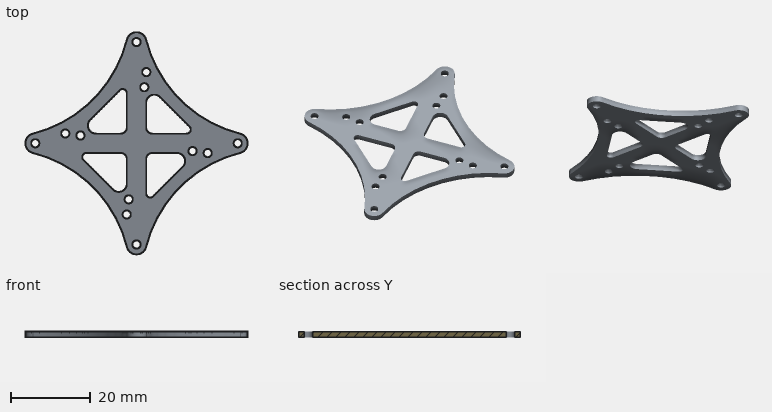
import cadquery as cq
import math

span = 55.9
thickness = 1.5
tip_radius = 2.5
edge_radius = 32.4
tip_reach = span / 2 - tip_radius

hole_diameter = 2.0
inner_hole = (1.95, 14.1)
outer_hole = (2.45, 17.9)

rib_half_width = 2.45
pocket_leg = 12.6
inner_corner_radius = 1.5
wide_corner_radius = 2.0
narrow_corner_radius = 1.0

arm_count = 4
arm_angle = 360 / arm_count


def edge_arc_centre():
    """Coordinate c of the arc centre (c, c), lying edge_radius + tip_radius from both tip centres."""
    centre_distance = edge_radius + tip_radius
    return (tip_reach + math.sqrt(2 * centre_distance**2 - tip_reach**2)) / 2


def rotated(point, quarter):
    angle = math.radians(quarter * arm_angle)
    x, y = point
    return (
        x * math.cos(angle) - y * math.sin(angle),
        x * math.sin(angle) + y * math.cos(angle),
    )


def make_plate():
    """Four-armed star with rounded tips and concave edges."""
    centre = edge_arc_centre()
    tangent_fraction = tip_radius / (edge_radius + tip_radius)
    near = tip_reach + tangent_fraction * (centre - tip_reach)
    side = tangent_fraction * centre
    waist = centre - edge_radius / math.sqrt(2)

    outline = cq.Workplane("XY").moveTo(near, -side)
    for quarter in range(arm_count):
        outline = outline.threePointArc(
            rotated((span / 2, 0), quarter), rotated((near, side), quarter)
        )
        outline = outline.threePointArc(
            rotated((waist, waist), quarter), rotated((side, near), quarter)
        )
    return outline.close().extrude(thickness)


def make_pocket_cutter():
    """Right-angled triangular cutter with a different radius at each corner."""
    far = rib_half_width + pocket_leg
    corners = (
        (rib_half_width, rib_half_width, inner_corner_radius),
        (rib_half_width, far, wide_corner_radius),
        (far, rib_half_width, narrow_corner_radius),
    )
    cutter = cq.Workplane("XY").polyline([(x, y) for x, y, _ in corners]).close().extrude(thickness)
    for x, y, radius in corners:
        corner_edge = cq.selectors.NearestToPointSelector((x, y, thickness / 2))
        cutter = cutter.edges("|Z").edges(corner_edge).fillet(radius)
    return cutter


def make_hole_cutter():
    """The tip hole and the offset pair of holes on one arm."""
    centres = [(0, tip_reach), inner_hole, outer_hole]
    return cq.Workplane("XY").pushPoints(centres).circle(hole_diameter / 2).extrude(thickness)


result = make_plate()
for cutter in (make_pocket_cutter(), make_hole_cutter()):
    for quarter in range(arm_count):
        result = result.cut(cutter.rotate((0, 0, 0), (0, 0, 1), quarter * arm_angle))